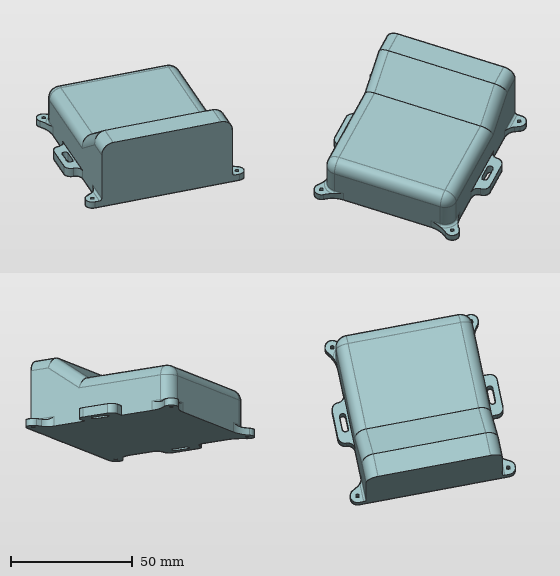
import cadquery as cq
import math

body_length = 68.0
body_width = 57.0
low_height = 19.5
high_height = 30.0
slope_start = 43.0
slope_angle = 35.0
slope_end = slope_start + (high_height - low_height) / math.tan(math.radians(slope_angle))
edge_radius = 5.0
half_width = body_width / 2

tab_thickness = 3.0
tab_radius = 3.0
cove_radius = 1.0
screw_hole_diameter = 1.4
front_tab_offset = 0.5
front_blend_radius = 12.0
rear_flank_angle = 60.0
rear_blend_radius = 5.0

lug_start = 24.0
lug_width = 18.0
lug_reach = 6.0
lug_height = 4.0
lug_radius = 3.0
slot_length = 8.0
slot_width = 2.5
slot_gap = 1.0


def make_body():
    """Housing with a raised rear; its rear face keeps sharp edges."""
    body = (
        cq.Workplane("XZ")
        .moveTo(0, 0)
        .lineTo(body_length, 0)
        .lineTo(body_length, high_height)
        .lineTo(slope_end, high_height)
        .lineTo(slope_start, low_height)
        .lineTo(0, low_height)
        .close()
        .extrude(half_width, both=True)
    )
    front_corners = body.faces("<X").edges("|Z")
    front_top = body.faces("<X").edges(">Z")
    side_tops = body.faces("<Y or >Y").edges("not(|Z or <Z)")
    return front_corners.add(front_top).add(side_tops).fillet(edge_radius)


def make_cove():
    """Concave fillet that runs around the housing wall on top of the tabs."""
    path = (
        cq.Workplane("XY", origin=(0, 0, tab_thickness))
        .moveTo(body_length, -half_width)
        .lineTo(edge_radius, -half_width)
        .radiusArc((0, -half_width + edge_radius), edge_radius)
        .lineTo(0, half_width - edge_radius)
        .radiusArc((edge_radius, half_width), edge_radius)
        .lineTo(body_length, half_width)
    )
    wall_line = cq.Workplane("YZ", origin=(body_length, -half_width, tab_thickness))
    profile = wall_line.lineTo(-cove_radius, 0).radiusArc((0, cove_radius), -cove_radius).close()
    return profile.sweep(path)


def finish_tab(outline, cove, hole_center):
    """Thicken a tab outline, add its share of the cove and drill it."""
    tab = outline.extrude(tab_thickness)
    tab_cove = outline.toPending().extrude(tab_thickness + cove_radius).intersect(cove)
    hole = cq.Workplane("XY").center(*hole_center).circle(screw_hole_diameter / 2).extrude(tab_thickness)
    return tab.union(tab_cove).cut(hole)


def make_front_tab(cove):
    """Tab on the front corner at -Y, blended by an arc into each wall."""
    reach = math.sqrt(
        (front_blend_radius + tab_radius) ** 2 - (front_blend_radius - front_tab_offset) ** 2
    )
    center_x = -front_tab_offset
    center_y = -half_width - front_tab_offset
    blend_share = tab_radius / (front_blend_radius + tab_radius)
    along = reach * blend_share
    across = (front_blend_radius - front_tab_offset) * blend_share
    tip = tab_radius * math.sqrt(0.5)
    outline = (
        cq.Workplane("XY")
        .moveTo(center_x + reach, -half_width)
        .radiusArc((center_x + along, center_y - across), -front_blend_radius)
        .threePointArc((center_x - tip, center_y - tip), (center_x - across, center_y + along))
        .radiusArc((0, center_y + reach), -front_blend_radius)
        .lineTo(edge_radius, -half_width + edge_radius)
        .close()
    )
    return finish_tab(outline, cove, (center_x, center_y))


def make_rear_tab(cove):
    """Tab at the rear end of the -Y side, flush with the rear face."""
    center_x = body_length - tab_radius
    center_y = -half_width - lug_reach + tab_radius
    flank_angle = math.radians(rear_flank_angle)
    flank_cos = math.cos(flank_angle)
    flank_sin = math.sin(flank_angle)
    tip_start = (center_x - tab_radius * flank_sin, center_y - tab_radius * flank_cos)
    flank_foot_x = tip_start[0] - (-half_width - tip_start[1]) / math.tan(flank_angle)
    blend_setback = rear_blend_radius * math.tan(flank_angle / 2)
    blend_start_x = flank_foot_x - blend_setback
    blend_end = (flank_foot_x + blend_setback * flank_cos, -half_width - blend_setback * flank_sin)
    outline = (
        cq.Workplane("XY")
        .moveTo(blend_start_x, -half_width)
        .radiusArc(blend_end, rear_blend_radius)
        .lineTo(*tip_start)
        .threePointArc((center_x, center_y - tab_radius), (body_length, center_y))
        .lineTo(body_length, -half_width + edge_radius)
        .lineTo(blend_start_x, -half_width + edge_radius)
        .close()
    )
    return finish_tab(outline, cove, (center_x, center_y))


def make_lug(side):
    """Slotted strap lug on the side given by the sign of Y."""
    center_x = lug_start + lug_width / 2
    lug = (
        cq.Workplane("XY")
        .center(center_x, side * half_width)
        .rect(lug_width, 2 * lug_reach)
        .extrude(lug_height)
        .edges("|Z and <Y" if side < 0 else "|Z and >Y")
        .fillet(lug_radius)
    )
    slot_y = side * (half_width + slot_gap + slot_width / 2)
    slot = cq.Workplane("XY").center(center_x, slot_y).slot2D(slot_length, slot_width).extrude(lug_height)
    return lug.cut(slot)


def make_lug_root(direction):
    """Concave corner between the -Y wall and one end of its lug."""
    end_x = lug_start + lug_width / 2 + direction * lug_width / 2
    return (
        cq.Workplane("XY")
        .moveTo(end_x, -half_width)
        .lineTo(end_x + direction * lug_radius, -half_width)
        .radiusArc((end_x, -half_width - lug_radius), -direction * lug_radius)
        .close()
        .extrude(lug_height)
    )


result = make_body()
wall_cove = make_cove()
for corner_tab in (make_front_tab(wall_cove), make_rear_tab(wall_cove)):
    result = result.union(corner_tab).union(corner_tab.mirror("XZ"))
for lug_side in (-1, 1):
    result = result.union(make_lug(lug_side))
for root_direction in (-1, 1):
    result = result.union(make_lug_root(root_direction))